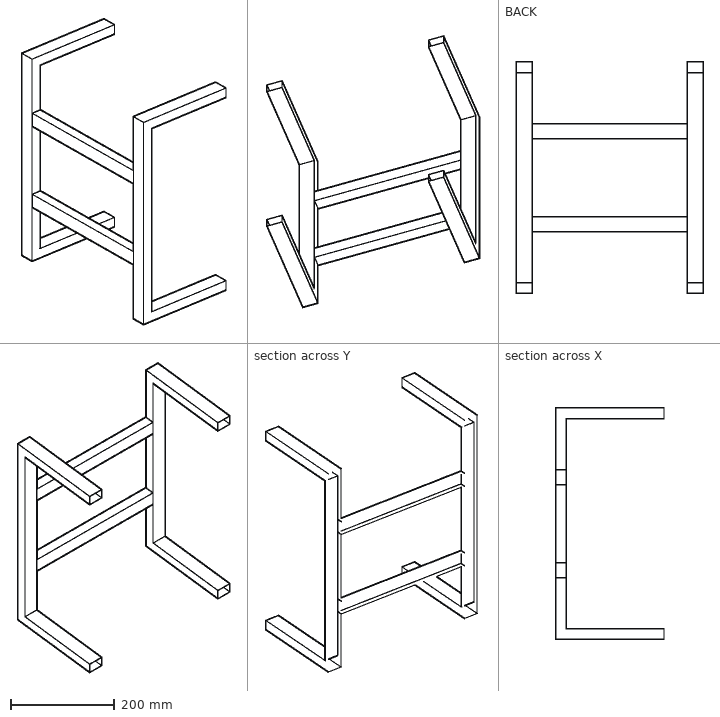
import cadquery as cq

width = 364.0
depth = 211.0
height = 450.0

post_width = 32.0
bar_thickness = 22.0
rung_height = 30.0
wall = 1.0

rung_spacing = 180.0


def block(x_size, y_size, z_size, corner):
    """Rectangular block placed by its lowest corner."""
    return cq.Workplane("XY").box(x_size, y_size, z_size, centered=False).translate(corner)


def c_shape(x_size, bar, y_front, y_back, z_bottom, z_top):
    """Upright at the front with an arm of the same thickness going back at each end."""
    y_size = y_back - y_front
    z_size = z_top - z_bottom
    outer = block(x_size, y_size, z_size, (0, y_front, z_bottom))
    opening = block(x_size, y_size - bar, z_size - 2 * bar, (0, y_front + bar, z_bottom + bar))
    return outer.cut(opening)


def side_frame(x_start):
    """Hollow C-shaped frame whose arms are open at their back ends."""
    tube = c_shape(post_width, bar_thickness, 0, depth, 0, height)
    bore = c_shape(post_width - 2 * wall, bar_thickness - 2 * wall, wall, depth, wall, height - wall)
    return tube.cut(bore.translate((wall, 0, 0))).translate((x_start, 0, 0))


def rung(z_center):
    """Hollow crossbar butted between the two uprights."""
    length = width - 2 * post_width
    z_bottom = z_center - rung_height / 2
    tube = block(length, bar_thickness, rung_height, (post_width, 0, z_bottom))
    bore = block(
        length,
        bar_thickness - 2 * wall,
        rung_height - 2 * wall,
        (post_width, wall, z_bottom + wall),
    )
    return tube.cut(bore)


result = side_frame(0).union(side_frame(width - post_width))
for side in (-1, 1):
    result = result.union(rung(height / 2 + side * rung_spacing / 2))